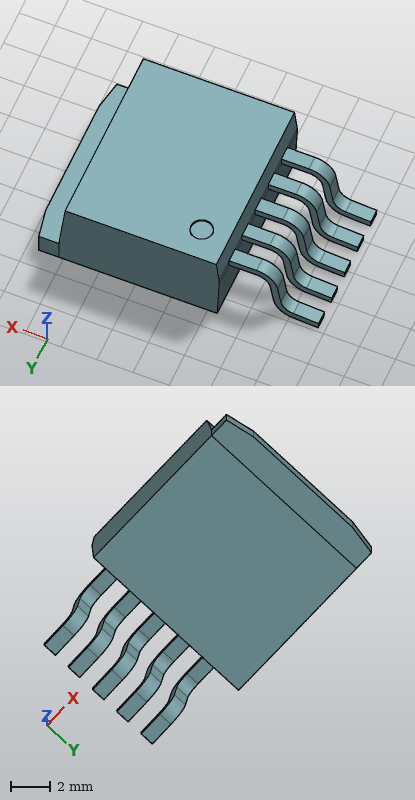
import cadquery as cq
import math


total_length = 15.27
package_width = 10.15

lead_count = 5
lead_pitch = 1.7
lead_width = 0.78
lead_thickness = 0.41
lead_top = 3.12
shoulder_start_x = 3.44
bend_inner_radius = 0.76
bend_outer_radius = bend_inner_radius + lead_thickness
leg_length = 1.13
leg_angle = math.radians(81)
foot_angle = math.radians(4)

housing_height = 4.46
housing_front_x = 4.96
housing_front_top_x = 5.12
housing_front_bottom_x = 5.07
housing_back_x = 13.85
housing_back_top_x = 13.5
lead_bottom = lead_top - lead_thickness

mark_diameter = 1.19
mark_depth = 0.1
mark_x = 6.65
mark_y = (lead_count - 1) / 2 * lead_pitch

tab_thickness = 1.27
tab_corner_length = 0.3
tab_corner_width = 1.62


def extrude_across(profile, width, center_y):
    """Extrude an XZ profile to the given width, centred on center_y."""
    return profile.extrude(width / 2, both=True).translate((0, center_y, 0))


def make_housing():
    """Tapered block whose front face has an upright band where the leads leave it."""
    outline = (
        cq.Workplane("XZ")
        .moveTo(housing_front_bottom_x, 0)
        .lineTo(housing_back_x, 0)
        .lineTo(housing_back_x, tab_thickness)
        .lineTo(housing_back_top_x, housing_height)
        .lineTo(housing_front_top_x, housing_height)
        .lineTo(housing_front_x, lead_top)
        .lineTo(housing_front_x, lead_bottom)
        .close()
    )
    block = extrude_across(outline, package_width, 0)
    mark = (
        cq.Workplane("XY", origin=(mark_x, mark_y, housing_height - mark_depth))
        .circle(mark_diameter / 2)
        .extrude(mark_depth)
    )
    return block.cut(mark)


def make_tab():
    """Flat plate against the back of the housing, with both outer corners cut off."""
    half_width = package_width / 2
    end_half_width = half_width - tab_corner_width
    corner_x = total_length - tab_corner_length
    outline = [
        (housing_back_x, -half_width),
        (corner_x, -half_width),
        (total_length, -end_half_width),
        (total_length, end_half_width),
        (corner_x, half_width),
        (housing_back_x, half_width),
    ]
    return cq.Workplane("XY").polyline(outline).close().extrude(tab_thickness)


def upper_bend_point(radius, angle):
    """Point on the shoulder bend, turned by angle from its top towards -X."""
    center_z = lead_top - bend_outer_radius
    return (shoulder_start_x - radius * math.sin(angle), center_z + radius * math.cos(angle))


def lower_bend_point(radius, angle):
    """Point on the foot bend, turned by angle from its bottom towards +X."""
    leg_top_x, leg_top_z = upper_bend_point(bend_outer_radius + bend_inner_radius, leg_angle)
    center_x = leg_top_x - leg_length * math.cos(leg_angle)
    center_z = leg_top_z - leg_length * math.sin(leg_angle)
    return (center_x + radius * math.sin(angle), center_z - radius * math.cos(angle))


def make_lead(center_y):
    """Gull-wing strip: level shoulder, steep leg and slightly sloping foot."""
    foot_start_x, foot_start_z = lower_bend_point(bend_inner_radius, foot_angle)
    tip_top = (0, foot_start_z - foot_start_x * math.tan(foot_angle))
    tip_bottom = (
        lead_thickness * math.sin(foot_angle),
        tip_top[1] - lead_thickness * math.cos(foot_angle),
    )
    upper_middle = leg_angle / 2
    lower_middle = (leg_angle + foot_angle) / 2
    outline = (
        cq.Workplane("XZ")
        .moveTo(housing_front_x, lead_top)
        .lineTo(shoulder_start_x, lead_top)
        .threePointArc(
            upper_bend_point(bend_outer_radius, upper_middle),
            upper_bend_point(bend_outer_radius, leg_angle),
        )
        .lineTo(*lower_bend_point(bend_inner_radius, leg_angle))
        .threePointArc(
            lower_bend_point(bend_inner_radius, lower_middle),
            (foot_start_x, foot_start_z),
        )
        .lineTo(*tip_top)
        .lineTo(*tip_bottom)
        .lineTo(*lower_bend_point(bend_outer_radius, foot_angle))
        .threePointArc(
            lower_bend_point(bend_outer_radius, lower_middle),
            lower_bend_point(bend_outer_radius, leg_angle),
        )
        .lineTo(*upper_bend_point(bend_inner_radius, leg_angle))
        .threePointArc(
            upper_bend_point(bend_inner_radius, upper_middle),
            upper_bend_point(bend_inner_radius, 0),
        )
        .lineTo(housing_front_x, lead_bottom)
        .close()
    )
    return extrude_across(outline, lead_width, center_y)


housing = make_housing()
tab = make_tab()
leads = [
    make_lead((index - (lead_count - 1) / 2) * lead_pitch)
    for index in range(lead_count)
]

result = cq.Compound.makeCompound(
    [housing.val(), tab.val(), *[lead.val() for lead in leads]]
)